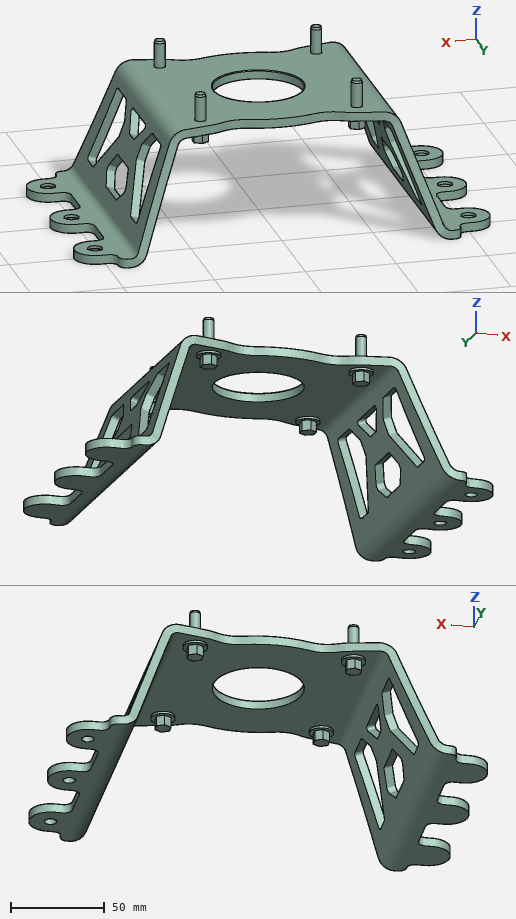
import cadquery as cq
import math

thickness = 5.0
plate_top = 70.0
plate_bottom = plate_top - thickness
bend_angle = 70.0
bend_inner_radius = 5.0
bend_outer_radius = bend_inner_radius + thickness
sin_bend = math.sin(math.radians(bend_angle))
cos_bend = math.cos(math.radians(bend_angle))

plate_end_x = 54.4
upper_bend_z = plate_top - bend_outer_radius
wall_top_x = plate_end_x + bend_outer_radius * sin_bend
wall_top_z = upper_bend_z + bend_outer_radius * cos_bend
lower_bend_z = thickness + bend_inner_radius
wall_bottom_z = lower_bend_z - bend_inner_radius * cos_bend
wall_length = (wall_top_z - wall_bottom_z) / sin_bend
wall_bottom_x = wall_top_x + wall_length * cos_bend
foot_start_x = wall_bottom_x + bend_inner_radius * sin_bend

plate_end_half = 56.3
upper_bend_mid_half = 57.0
wall_top_half = 57.6
wall_bottom_half = 69.7
lower_bend_flare_half = 70.6
foot_half = 141.85 / 2
wall_edge_bow = 0.6

shoulder_x = 39.5
shoulder_half = 53.0
dip_start_x = 32.7
dip_start_half = 50.5
dip_end_x = 19.0
dip_end_half = 49.2
shoulder_radius = 24.0
dip_radius = 19.0
crown_half = 52.3

bore_diameter = 49.0
bore_chamfer = 0.5
screw_offset = 43.0
screw_hole_diameter = 6.15
screw_diameter = 5.88
screw_tip_diameter = 5.04
screw_tip_height = 1.2
screw_top = 84.84
flange_diameter = 13.0
flange_height = 1.3
head_across_flats = 8.0
head_height = 7.0

foot_edge_x = 94.0
lug_radius = 11.5
lug_x = 228.29 / 2 - lug_radius
lug_pitch = 50.0
foot_fillet = 4.5
lug_recess_diameter = 8.0
lug_recess_depth = 1.5
lug_hole_diameter = 6.6

window_top = 7.2
side_window_bottom = 51.2
side_window_top_outer = 46.6
side_window_bottom_outer = 52.7
side_window_outer_bow = 0.6
side_window_top_inner = 27.4
side_window_inner = 18.4
side_window_inner_top = 16.7
side_window_inner_bottom = 25.7
side_window_bottom_inner = 39.6
upper_window_bottom = 19.2
upper_window_top_half = 16.5
upper_window_bottom_half = 4.6
lower_window_top = 33.4
lower_window_side_top = 42.4
lower_window_side_bottom = 45.3
lower_window_bottom = 52.2
lower_window_top_half = 11.4
lower_window_side_half = 18.4
lower_window_bottom_half = 10.7
window_fillet = 1.5
side_window_outer_fillet = 2.0
window_shift = 2.3


def make_plate():
    """Flat top plate with two wavy edges, a bore chamfered at the top, and four screw holes."""
    plate = cq.Workplane("XY", origin=(0, 0, plate_bottom)).moveTo(plate_end_x, -plate_end_half)
    for side in (1, -1):
        plate = (
            plate.lineTo(side * plate_end_x, side * plate_end_half)
            .lineTo(side * shoulder_x, side * shoulder_half)
            .radiusArc((side * dip_start_x, side * dip_start_half), -shoulder_radius)
            .radiusArc((side * dip_end_x, side * dip_end_half), dip_radius)
            .threePointArc((0, side * crown_half), (-side * dip_end_x, side * dip_end_half))
            .radiusArc((-side * dip_start_x, side * dip_start_half), dip_radius)
            .radiusArc((-side * shoulder_x, side * shoulder_half), -shoulder_radius)
            .lineTo(-side * plate_end_x, side * plate_end_half)
        )
    plate = plate.close().extrude(thickness)
    bore = (
        cq.Workplane("XY", origin=(0, 0, plate_bottom))
        .circle(bore_diameter / 2)
        .extrude(thickness)
    )
    bore_countersink = cq.Workplane(
        cq.Solid.makeCone(
            bore_diameter / 2,
            bore_diameter / 2 + bore_chamfer,
            bore_chamfer,
            pnt=cq.Vector(0, 0, plate_top - bore_chamfer),
        )
    )
    screw_holes = (
        cq.Workplane("XY", origin=(0, 0, plate_bottom))
        .rect(2 * screw_offset, 2 * screw_offset, forConstruction=True)
        .vertices()
        .circle(screw_hole_diameter / 2)
        .extrude(thickness)
    )
    return plate.cut(bore).cut(bore_countersink).cut(screw_holes)


def polar(radius, angle):
    return radius * math.cos(math.radians(angle)), radius * math.sin(math.radians(angle))


def make_bend(axis_x, axis_z, start_angle, half_widths):
    """Bend sector about an axis along Y.

    The half widths are spread evenly over the bend angle.
    The side faces run straight from one half width to the next.
    """
    mid_radius = (bend_inner_radius + bend_outer_radius) / 2
    envelope_depth = 2 * thickness
    angle_step = bend_angle / (len(half_widths) - 1)
    sections = []
    for step, half_width in enumerate(half_widths):
        across_x, across_z = polar(1, start_angle + step * angle_step)
        across_sheet = cq.Vector(across_x, 0, across_z)
        plane = cq.Plane(
            origin=cq.Vector(axis_x, 0, axis_z) + across_sheet * mid_radius,
            xDir=across_sheet,
            normal=across_sheet.cross(cq.Vector(0, 1, 0)),
        )
        sections.append(cq.Workplane(plane).rect(envelope_depth, 2 * half_width).wires().val())
    envelope = cq.Workplane(cq.Solid.makeLoft(sections, True))

    widest = max(half_widths)
    sector = (
        cq.Workplane("XZ", origin=(axis_x, widest, axis_z))
        .transformed(rotate=(0, 0, start_angle))
        .moveTo(bend_inner_radius, 0)
        .lineTo(bend_outer_radius, 0)
        .threePointArc(polar(bend_outer_radius, bend_angle / 2), polar(bend_outer_radius, bend_angle))
        .lineTo(*polar(bend_inner_radius, bend_angle))
        .threePointArc(polar(bend_inner_radius, bend_angle / 2), (bend_inner_radius, 0))
        .close()
        .extrude(2 * widest)
    )
    return sector.intersect(envelope)


def wall_sketch(shift_up=0):
    """Workplane on the outer face of the +X wall: local X runs down the slope, local Y along the bends."""
    return cq.Workplane(
        cq.Plane(
            origin=(wall_top_x - shift_up * cos_bend, 0, wall_top_z + shift_up * sin_bend),
            xDir=(cos_bend, 0, -sin_bend),
            normal=(sin_bend, 0, cos_bend),
        )
    )


def wall_blank():
    edge_mid_half = (wall_top_half + wall_bottom_half) / 2 - wall_edge_bow
    return (
        wall_sketch()
        .moveTo(0, -wall_top_half)
        .lineTo(0, wall_top_half)
        .threePointArc((wall_length / 2, edge_mid_half), (wall_length, wall_bottom_half))
        .lineTo(wall_length, -wall_bottom_half)
        .threePointArc((wall_length / 2, -edge_mid_half), (0, -wall_top_half))
        .close()
        .extrude(-thickness)
    )


def across_wall():
    """Selects the corner edges of a window, which run through the wall thickness."""
    return cq.selectors.ParallelDirSelector(cq.Vector(sin_bend, 0, cos_bend))


def side_window(shift_up):
    """Large window on the +Y side."""
    outer_mid = (side_window_top_outer + side_window_bottom_outer) / 2 - side_window_outer_bow
    opening = (
        wall_sketch(shift_up)
        .moveTo(window_top, side_window_top_outer)
        .threePointArc(
            ((window_top + side_window_bottom) / 2, outer_mid),
            (side_window_bottom, side_window_bottom_outer),
        )
        .lineTo(side_window_bottom, side_window_bottom_inner)
        .lineTo(side_window_inner_bottom, side_window_inner)
        .lineTo(side_window_inner_top, side_window_inner)
        .lineTo(window_top, side_window_top_inner)
        .close()
        .extrude(-thickness)
    )
    corner_split = (side_window_bottom_inner + side_window_top_outer) / 2
    inner_zone = cq.selectors.BoxSelector((0, 0, 0), (2 * wall_bottom_x, corner_split, plate_top))
    outer_zone = cq.selectors.BoxSelector((0, corner_split, 0), (2 * wall_bottom_x, foot_half, plate_top))
    opening = opening.edges(across_wall()).edges(outer_zone).fillet(side_window_outer_fillet)
    return opening.edges(across_wall()).edges(inner_zone).fillet(window_fillet)


def middle_window(half_outline, shift_up):
    """Window symmetric about the middle line, from its +Y corners listed down the wall."""
    mirrored = [(down, -across) for down, across in reversed(half_outline)]
    return (
        wall_sketch(shift_up)
        .polyline(half_outline + mirrored)
        .close()
        .extrude(-thickness)
        .edges(across_wall())
        .fillet(window_fillet)
    )


def make_wall(shift_up):
    upper_half_outline = [
        (window_top, upper_window_top_half),
        (upper_window_bottom, upper_window_bottom_half),
    ]
    lower_half_outline = [
        (lower_window_top, lower_window_top_half),
        (lower_window_side_top, lower_window_side_half),
        (lower_window_side_bottom, lower_window_side_half),
        (lower_window_bottom, lower_window_bottom_half),
    ]
    side_opening = side_window(shift_up)
    return (
        wall_blank()
        .cut(side_opening)
        .cut(side_opening.mirror("XZ"))
        .cut(middle_window(upper_half_outline, shift_up))
        .cut(middle_window(lower_half_outline, shift_up))
    )


def make_foot():
    """Flat +X foot strip with three rounded lugs."""
    foot = (
        cq.Workplane("XY", origin=(foot_start_x, 0, 0))
        .box(foot_edge_x - foot_start_x, 2 * foot_half, thickness, centered=(False, True, False))
        .edges("|Z and >X")
        .fillet(foot_fillet)
    )
    for row in (-1, 0, 1):
        lug = (
            cq.Workplane("XY")
            .moveTo(foot_edge_x, row * lug_pitch - lug_radius)
            .lineTo(lug_x, row * lug_pitch - lug_radius)
            .threePointArc((lug_x + lug_radius, row * lug_pitch), (lug_x, row * lug_pitch + lug_radius))
            .lineTo(foot_edge_x, row * lug_pitch + lug_radius)
            .close()
            .extrude(thickness)
        )
        foot = foot.union(lug)
    margin = 0.1
    lugs_half = lug_pitch + lug_radius + margin
    lug_roots = cq.selectors.BoxSelector(
        (foot_edge_x - margin, -lugs_half, 0),
        (foot_edge_x + margin, lugs_half, thickness),
    )
    return foot.edges("|Z").edges(lug_roots).fillet(foot_fillet)


def lug_drill(diameter, depth):
    """Three round cutters sunk to a depth from the top of the lugs."""
    return (
        cq.Workplane("XY", origin=(lug_x, 0, thickness))
        .rarray(lug_pitch, lug_pitch, 1, 3)
        .circle(diameter / 2)
        .extrude(-depth)
    )


def make_leg(window_shift_up):
    """Upper bend, wall, lower bend and foot of the +X leg, with blind recesses in the lugs."""
    upper_bend = make_bend(
        plate_end_x,
        upper_bend_z,
        90 - bend_angle,
        (wall_top_half, upper_bend_mid_half, plate_end_half),
    )
    lower_bend = make_bend(
        foot_start_x,
        lower_bend_z,
        270 - bend_angle,
        (wall_bottom_half, lower_bend_flare_half, foot_half, foot_half),
    )
    leg = upper_bend.union(make_wall(window_shift_up)).union(lower_bend).union(make_foot())
    return leg.cut(lug_drill(lug_recess_diameter, lug_recess_depth))


def make_bracket():
    right_leg = make_leg(window_shift).cut(lug_drill(lug_hole_diameter, thickness))
    left_leg = make_leg(0).mirror("YZ")
    return make_plate().union(right_leg).union(left_leg)


def make_screw(x, y):
    """Flanged hex screw pointing up, with its flange seated under the plate."""
    shank = (
        cq.Workplane("XY", origin=(x, y, plate_bottom))
        .circle(screw_diameter / 2)
        .extrude(screw_top - plate_bottom)
        .faces(">Z")
        .chamfer(screw_tip_height, (screw_diameter - screw_tip_diameter) / 2)
    )
    flange = (
        cq.Workplane("XY", origin=(x, y, plate_bottom))
        .circle(flange_diameter / 2)
        .extrude(-flange_height)
    )
    head = (
        cq.Workplane("XY", origin=(x, y, plate_bottom))
        .transformed(rotate=(0, 0, 90))
        .polygon(6, head_across_flats / math.cos(math.pi / 6))
        .extrude(-head_height)
    )
    return shank.union(flange).union(head)


bracket = make_bracket()
screws = [
    make_screw(side_x * screw_offset, side_y * screw_offset)
    for side_x in (-1, 1)
    for side_y in (-1, 1)
]
result = cq.Compound.makeCompound([bracket.val(), *[screw.val() for screw in screws]])